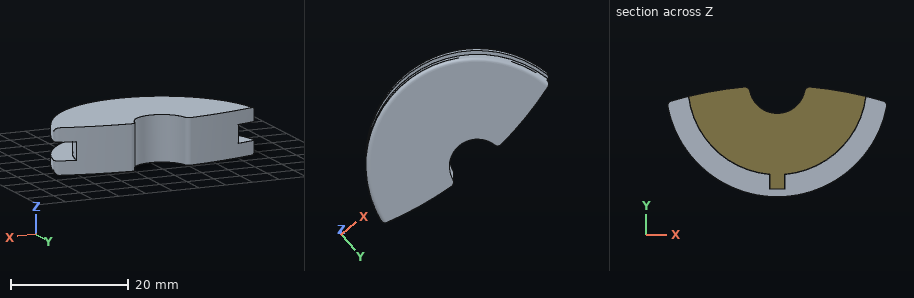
import cadquery as cq

rim_radius = 19.05
bore_radius = 4.75
web_radius = 15.3
back_arc_radius = 62.95
height = 8.4
groove_height = 3.25
rim_round = 0.82
corner_round = 0.82
bore_corner_round = 0.9
key_width = 2.62
key_reach = 17.7

flange_height = (height - groove_height) / 2


def cylinder(radius, depth, base=0):
    return cq.Workplane("XY").workplane(offset=base).circle(radius).extrude(depth)


def back_limit(depth, base=0):
    """Cylinder whose wall forms the shallow back face."""
    return cylinder(back_arc_radius, depth, base).translate((0, -back_arc_radius, 0))


def make_flanged_blank():
    """Full-height sector with rounded corners and rounded outer edges."""
    bore = cylinder(bore_radius, height)
    sector = cylinder(rim_radius, height).intersect(back_limit(height)).cut(bore)
    rim_corners = cq.selectors.BoxSelector(
        (-rim_radius, -rim_radius / 2, 0), (-rim_radius / 2, 0, height)
    ) + cq.selectors.BoxSelector(
        (rim_radius / 2, -rim_radius / 2, 0), (rim_radius, 0, height)
    )
    bore_corners = cq.selectors.BoxSelector(
        (-rim_radius / 2, -bore_radius / 2, 0), (rim_radius / 2, 0, height)
    )
    sector = sector.edges("|Z").edges(rim_corners).fillet(corner_round)
    sector = sector.edges("|Z").edges(bore_corners).fillet(bore_corner_round)
    rounded_disc = cylinder(rim_radius, height).edges("%CIRCLE").fillet(rim_round)
    return sector.intersect(rounded_disc)


def make_groove():
    """Ring removed around the web, leaving a central key across the groove."""
    ring = cylinder(2 * rim_radius, groove_height, flange_height).cut(
        cylinder(web_radius, groove_height, flange_height)
    )
    key = (
        cq.Workplane("XY")
        .workplane(offset=flange_height)
        .center(0, -key_reach / 2)
        .rect(key_width, key_reach)
        .extrude(groove_height)
    )
    return ring.cut(key)


result = make_flanged_blank().cut(make_groove())